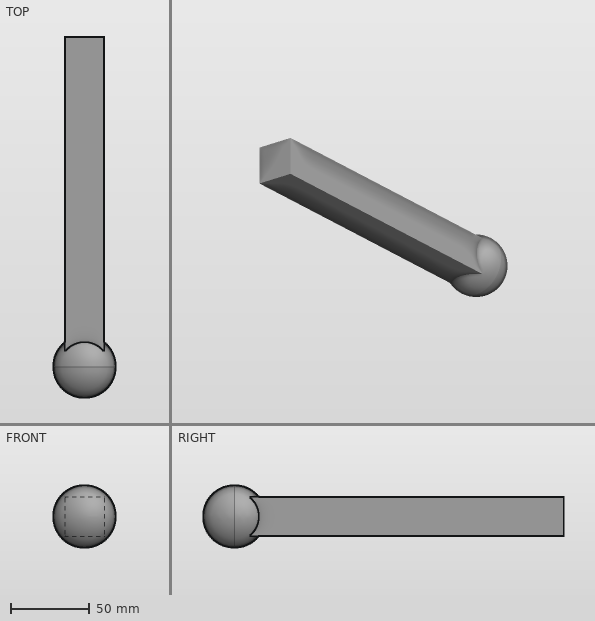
import cadquery as cq

ball_diameter = 40.0
bar_side = 25.0
bar_length = 200.0
overall_length = 230.0

ball_radius = ball_diameter / 2
bar_far_end = overall_length - ball_radius
bar_near_end = bar_far_end - bar_length


def make_ball():
    """Ball with its poles on the Y axis, built from two hemispheres that meet in the XZ plane."""
    front_half = (
        cq.Workplane("XY")
        .lineTo(ball_radius, 0)
        .radiusArc((0, -ball_radius), ball_radius)
        .close()
        .revolve(360, (0, 0, 0), (0, 1, 0))
    )
    back_half = front_half.mirror("XZ")
    return front_half.union(back_half)


def make_bar():
    """Square bar along +Y; the corners of its near end stand just proud of the ball."""
    return (
        cq.Workplane("XY")
        .box(bar_side, bar_length, bar_side, centered=(True, False, True))
        .translate((0, bar_near_end, 0))
    )


result = make_ball().union(make_bar())